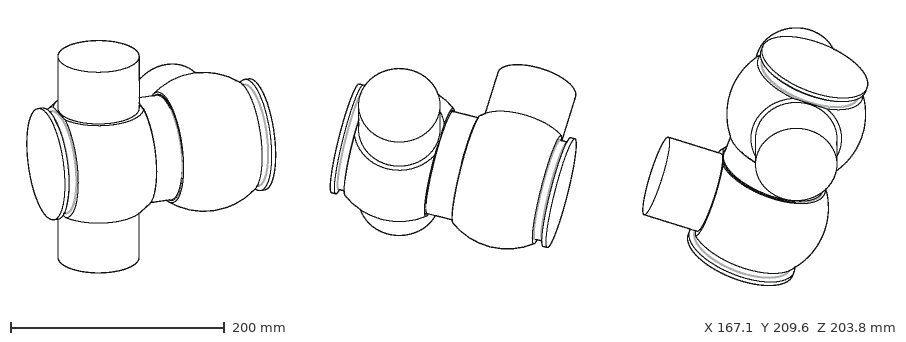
import cadquery as cq
import math

overall_length = 209.55
body_spacing = overall_length / 2
body_offset = body_spacing / 2
body_radius = 65.14
body_half_width = 39.0

pipe_radius = 38.1
pipe_reach = 101.92
pipe_seat_radius = 42.4
pipe_seat_reach = math.sqrt(body_radius**2 - pipe_seat_radius**2)

neck_radius = 49.4

ferrule_radius = 47.9
flange_radius = 52.6
flange_thickness = 4.1
flange_back_angle = math.radians(20)

root_fillet = 0.8


def turned_half():
    """Half neck, body and clamp ferrule on the +Y side, turned about the Y axis."""
    inner_face_y = body_offset - body_half_width
    outer_face_y = body_offset + body_half_width
    face_radius = math.sqrt(body_radius**2 - body_half_width**2)

    end_y = overall_length / 2
    rim_y = end_y - flange_thickness
    flange_root_y = rim_y - (flange_radius - ferrule_radius) * math.tan(flange_back_angle)
    tangent_length = root_fillet * math.tan((math.pi / 2 - flange_back_angle) / 2)
    cone_start = (
        ferrule_radius + tangent_length * math.cos(flange_back_angle),
        flange_root_y + tangent_length * math.sin(flange_back_angle),
    )

    return (
        cq.Workplane("XY")
        .lineTo(neck_radius, 0)
        .lineTo(neck_radius, inner_face_y - root_fillet)
        .tangentArcPoint((neck_radius + root_fillet, inner_face_y), relative=False)
        .lineTo(face_radius, inner_face_y)
        .threePointArc((body_radius, body_offset), (face_radius, outer_face_y))
        .lineTo(ferrule_radius + root_fillet, outer_face_y)
        .tangentArcPoint((ferrule_radius, outer_face_y + root_fillet), relative=False)
        .lineTo(ferrule_radius, flange_root_y - tangent_length)
        .tangentArcPoint(cone_start, relative=False)
        .lineTo(flange_radius, rim_y)
        .lineTo(flange_radius, end_y)
        .lineTo(0, end_y)
        .close()
        .revolve(360, (0, 0, 0), (0, 1, 0))
    )


def add_pipe(part, center_y, angle):
    """Cut a flat seat on a body and stand a pipe on it, turned about Y from +Z."""
    seat_cut_width = 2 * (body_half_width + root_fillet)
    seat_cut_height = pipe_reach - pipe_seat_reach
    seat_cut = (
        cq.Workplane("XY", origin=(0, center_y, pipe_seat_reach))
        .rect(2 * body_radius, seat_cut_width)
        .extrude(seat_cut_height)
        .rotate((0, 0, 0), (0, 1, 0), angle)
    )
    pipe = (
        cq.Workplane("XY", origin=(0, center_y, 0))
        .circle(pipe_radius)
        .extrude(pipe_reach)
        .rotate((0, 0, 0), (0, 1, 0), angle)
    )
    return part.cut(seat_cut).union(pipe)


back_half = turned_half()
front_half = back_half.rotate((0, 0, 0), (0, 0, 1), 180)
result = back_half.union(front_half).clean()

for pipe_center_y, pipe_angle in ((-body_offset, 0), (-body_offset, 180), (body_offset, -90)):
    result = add_pipe(result, pipe_center_y, pipe_angle)